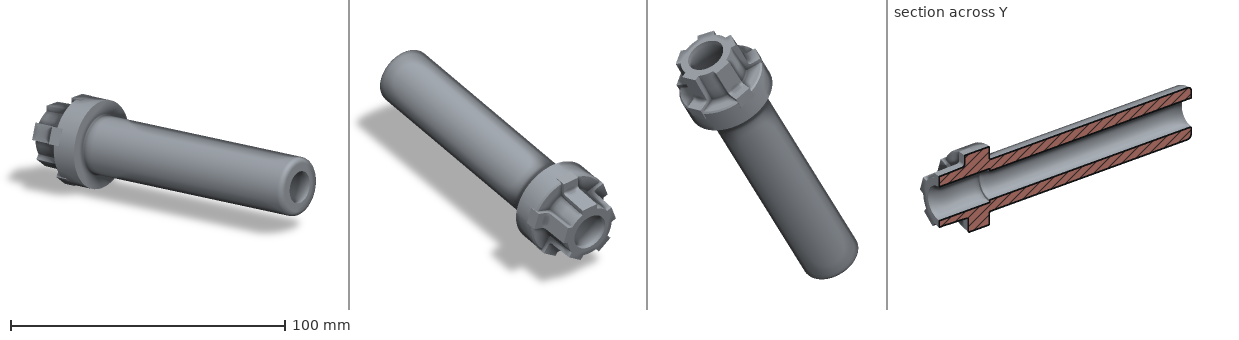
import cadquery as cq

total_length = 114.0
shaft_radius = 22.0 / 2
shaft_end_round = 1.9

flange_radius = 16.5
flange_front = 13.0
flange_back = 22.8
flange_chamfer = 0.6
flange_back_fillet = 0.6

nose_tip_radius = 9.9
nose_base_radius = 10.4
nose_fillet = 0.6

bore_radius = 12.0 / 2
counterbore_radius = 14.0 / 2
counterbore_depth = flange_back

rib_count = 5
rib_width = 6.5
rib_tip_height = 11.5
rib_base_height = 11.9
rib_step = 11.4
rib_fillet = 1.0
rib_back = 16.0
rib_outer_height = 16.5

selection_margin = 0.2


def ring_selector(x, radius):
    """Select the circular edge of the given radius at position x on the axis."""
    reach = radius + selection_margin
    return cq.selectors.BoxSelector(
        (x - selection_margin, -reach, -reach),
        (x + selection_margin, reach, reach),
        boundingbox=True,
    )


def make_body():
    """Nose, flange and shaft as one solid of revolution."""
    nose = (
        cq.Workplane("XY")
        .polyline([(0, 0), (0, nose_tip_radius), (flange_front, nose_base_radius), (flange_front, 0)])
        .close()
        .revolve(360, (0, 0, 0), (1, 0, 0))
    )
    flange = (
        cq.Workplane("YZ", origin=(flange_front, 0, 0))
        .circle(flange_radius)
        .extrude(flange_back - flange_front)
        .faces("<X")
        .chamfer(flange_chamfer)
    )
    shaft = (
        cq.Workplane("YZ", origin=(flange_back, 0, 0))
        .circle(shaft_radius)
        .extrude(total_length - flange_back)
        .faces(">X")
        .edges()
        .fillet(shaft_end_round)
    )
    body = nose.union(flange).union(shaft)
    body = body.edges(ring_selector(flange_front, nose_base_radius)).fillet(nose_fillet)
    return body.edges(ring_selector(flange_back, shaft_radius)).fillet(flange_back_fillet)


def make_rib():
    """One stepped rib pointing toward +Z, with a rounded inner corner."""
    return (
        cq.Workplane("XZ")
        .polyline([
            (0, 0),
            (0, rib_tip_height),
            (rib_step, rib_base_height),
            (rib_step, rib_outer_height),
            (rib_back, rib_outer_height),
            (rib_back, 0),
        ])
        .close()
        .extrude(rib_width / 2, both=True)
        .edges(cq.selectors.NearestToPointSelector((rib_step, 0, rib_base_height)))
        .fillet(rib_fillet)
    )


def make_bore():
    """Through bore with a wider counterbore from the nose end."""
    bore = cq.Workplane("YZ").circle(bore_radius).extrude(total_length)
    counterbore = cq.Workplane("YZ").circle(counterbore_radius).extrude(counterbore_depth)
    return bore.union(counterbore)


result = make_body()
rib = make_rib()
for index in range(rib_count):
    angle = index * 360 / rib_count
    result = result.union(rib.rotate((0, 0, 0), (1, 0, 0), angle))
result = result.cut(make_bore())